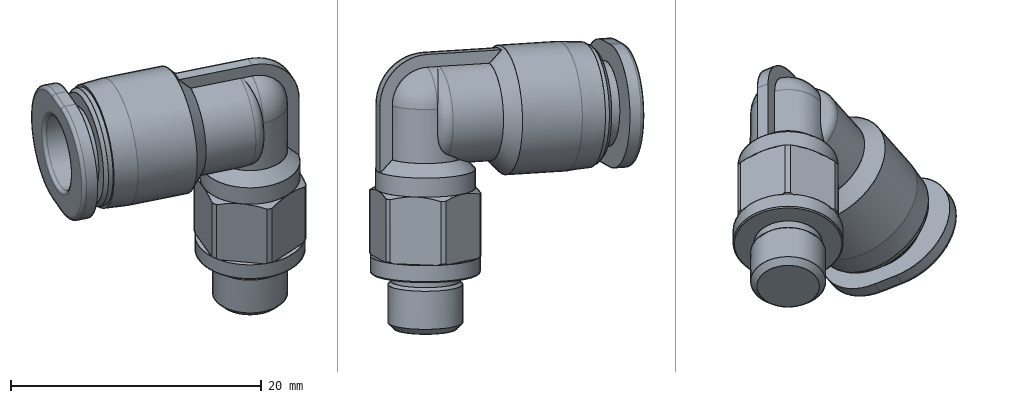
import cadquery as cq


thread_radius = 3.0
thread_end_chamfer = 0.5
thread_top = 3.6
relief_radius = 2.75
relief_chamfer = thread_radius - relief_radius

flange_radius = 4.4
flange_bottom = 4.55
flange_thickness = 1.4
flange_edge_chamfer = 0.1
flange_top = flange_bottom + flange_thickness

hex_sides = 6
hex_turn = 180 / hex_sides
hex_across_flats = 8.0
hex_height = 5.5
hex_corner_radius = 4.5
hex_top_chamfer_height = 0.3
hex_top = flange_top + hex_height

collar_radius = 4.0
collar_top = 13.0
neck_radius = 3.0
neck_cone_top = collar_top + collar_radius - neck_radius

socket_axis_z = 17.4
arm_radius = 4.0
arm_end_fillet = 1.0
arm_length = 5.25
body_radius = 5.2
body_start = arm_length + body_radius - arm_radius
body_end = 11.5
taper_end = 13.5
taper_end_radius = 5.05
cap_radius = 4.85
cap_end = 14.2
cap_chamfer = 0.3
dome_center_z = socket_axis_z + arm_radius - neck_radius

button_neck_radius = 3.45
button_length = 12.0
button_height = 10.0
button_start = 15.25
button_end = 16.5
button_edge_fillet = 0.3
bore_radius = 3.1
bore_mouth_fillet = 0.3
bore_bottom = body_start

rib_thickness = 1.0
rib_radius = 4.0


def revolved(radius_height_points):
    """Solid of revolution about Z from an outer (radius, height) profile."""
    first_height = radius_height_points[0][1]
    last_height = radius_height_points[-1][1]
    outline = [(0, first_height)] + radius_height_points + [(0, last_height)]
    return cq.Workplane("XZ").polyline(outline).close().revolve(360, (0, 0), (0, 1))


def socket_plane(distance):
    """Workplane across the socket axis, facing -Y, at a distance from the stem axis."""
    return cq.Workplane("XZ", origin=(0, -distance, socket_axis_z))


def make_stem():
    return revolved([
        (thread_radius - thread_end_chamfer, 0),
        (thread_radius, thread_end_chamfer),
        (thread_radius, thread_top),
        (relief_radius, thread_top + relief_chamfer),
        (relief_radius, flange_bottom),
        (flange_radius - flange_edge_chamfer, flange_bottom),
        (flange_radius, flange_bottom + flange_edge_chamfer),
        (flange_radius, flange_top),
    ])


def make_hexagon():
    hexagon = (
        cq.Workplane("XY", origin=(0, 0, flange_top))
        .transformed(rotate=(0, 0, hex_turn))
        .polygon(hex_sides, hex_across_flats, circumscribed=True)
        .extrude(hex_height)
    )
    turned_blank = revolved([
        (flange_radius, flange_top),
        (hex_corner_radius, flange_top + hex_corner_radius - flange_radius),
        (hex_corner_radius, hex_top - hex_top_chamfer_height),
        (hex_across_flats / 2, hex_top),
    ])
    return hexagon.intersect(turned_blank)


def make_neck():
    neck = revolved([
        (collar_radius, hex_top),
        (collar_radius, collar_top),
        (neck_radius, neck_cone_top),
        (neck_radius, dome_center_z),
    ])
    dome = cq.Workplane("XY", origin=(0, 0, dome_center_z)).sphere(neck_radius)
    bend = cq.Workplane("XZ", origin=(0, 0, dome_center_z)).circle(neck_radius).extrude(arm_end_fillet)
    return neck.union(dome).union(bend)


def make_socket():
    body = revolved([
        (arm_radius, 0),
        (arm_radius, arm_length),
        (body_radius, body_start),
        (body_radius, body_end),
        (taper_end_radius, taper_end),
        (cap_radius, taper_end),
        (cap_radius, cap_end - cap_chamfer),
        (cap_radius - cap_chamfer, cap_end),
        (button_neck_radius, cap_end),
        (button_neck_radius, button_start),
    ])
    body = body.faces("<Z").edges().fillet(arm_end_fillet)
    return body.rotate((0, 0, 0), (1, 0, 0), 90).translate((0, 0, socket_axis_z))


def make_button():
    button = (
        socket_plane(button_start)
        .slot2D(button_length, button_height)
        .extrude(button_end - button_start)
    )
    return button.faces("<Y").edges().fillet(button_edge_fillet)


def cut_bore(part):
    bore = socket_plane(bore_bottom).circle(bore_radius).extrude(button_end - bore_bottom)
    bored = part.cut(bore)
    mouth = cq.selectors.RadiusNthSelector(0)
    return bored.faces("<Y").edges("%CIRCLE").edges(mouth).fillet(bore_mouth_fillet)


def make_rib():
    return (
        cq.Workplane("YZ", origin=(-rib_thickness / 2, 0, 0))
        .moveTo(0, collar_top)
        .lineTo(rib_radius, collar_top)
        .lineTo(rib_radius, dome_center_z)
        .radiusArc((0, dome_center_z + rib_radius), -rib_radius)
        .lineTo(-body_start, dome_center_z + rib_radius)
        .lineTo(-body_start, socket_axis_z)
        .lineTo(0, socket_axis_z)
        .close()
        .extrude(rib_thickness)
    )


elbow = make_stem().union(make_hexagon()).union(make_neck())
elbow = elbow.union(make_socket()).union(make_button()).union(make_rib())
result = cq.Workplane(cut_bore(elbow).solids().val())